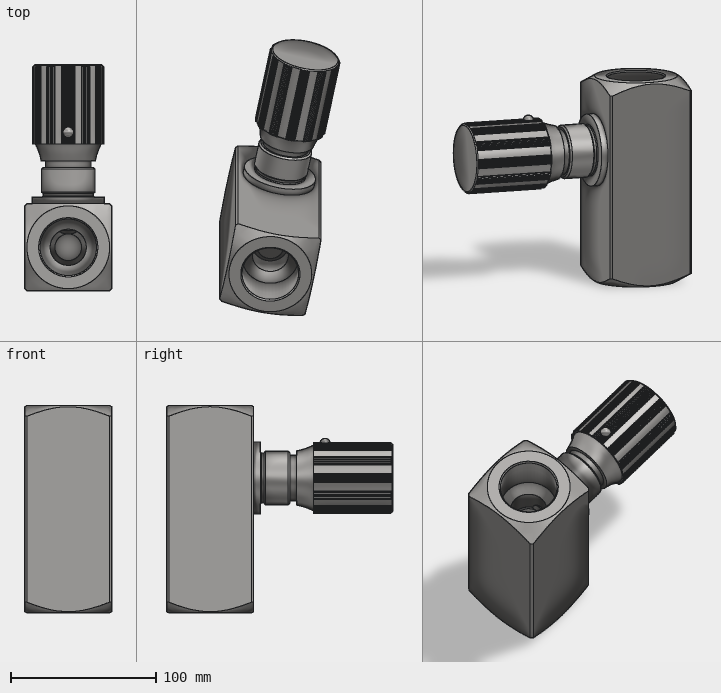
import cadquery as cq
import math

BODY_WIDTH = 60.0
BODY_LENGTH = 143.0
BODY_EDGE_CHAMFER = 1.5
END_FACE_RADIUS = 28.5
END_BEVEL_ANGLE = 30

PORT_RADIUS = 19.5
PORT_MOUTH_CHAMFER = 1.0
PORT_DEPTH = 27.3
SEAT_BORE_RADIUS = 12.5
DRILL_POINT_ANGLE = 118
SEAT_BORE_FLOOR = 22.6
POPPET_TOP_RADIUS = 9.2
POPPET_HEIGHT = SEAT_BORE_RADIUS - POPPET_TOP_RADIUS

OVERALL_DEPTH = 156.0
STEM_HEIGHT = 21.5
BODY_FACE = BODY_WIDTH / 2
FLANGE_RADIUS = 25.0
FLANGE_END = 34.6
COLLAR_RADIUS = 18.5
COLLAR_START = 38.0
COLLAR_END = 55.0
COLLAR_CHAMFER = 1.2
RELIEF_RADIUS = 17.3
RELIEF_START = 35.4
RELIEF_END = 37.1
RELIEF_SHOULDER_RADIUS = 18.0
NECK_RADIUS = 15.83
SKIRT_START = 59.6
SKIRT_SMALL_RADIUS = 18.7
SKIRT_LARGE_RADIUS = 22.6
SKIRT_SAG = 0.5
KNOB_START = 71.1
KNOB_END = OVERALL_DEPTH - BODY_FACE

NEEDLE_RADIUS = 6.79
NEEDLE_SHOULDER = 11.5

GRIP_RADIUS = 24.5
GRIP_FLOOR_RADIUS = 23.7
GRIP_CHAMFER = 1.5
BAND_COUNT = 12
GROOVE_PITCH = math.radians(2.5)
GROUP_GROOVES = 6
POINTER_GROOVES = 9
INDEX_BALL_RADIUS = 3.67
INDEX_BALL_Y = 79.2
INDEX_BALL_OFFSET = 23.7


def revolve_about_z(points):
    """Solid of revolution from (radius, z) points."""
    return cq.Workplane("XZ").polyline(points).close().revolve(360, (0, 0, 0), (0, 1, 0))


def revolve_about_stem(profile):
    """Turn a (radius, y) profile about the stem axis."""
    return profile.close().revolve(360, (0, 0, 0), (0, 1, 0)).translate((0, 0, STEM_HEIGHT))


def make_body():
    bar = cq.Workplane("XY").box(BODY_WIDTH, BODY_WIDTH, BODY_LENGTH)
    bar = bar.edges("|Z").chamfer(BODY_EDGE_CHAMFER)
    top = BODY_LENGTH / 2
    corner = BODY_WIDTH
    bevel_bottom = top - (corner - END_FACE_RADIUS) * math.tan(math.radians(END_BEVEL_ANGLE))
    envelope = revolve_about_z([
        (0, -top),
        (END_FACE_RADIUS, -top),
        (corner, -bevel_bottom),
        (corner, bevel_bottom),
        (END_FACE_RADIUS, top),
        (0, top),
    ])
    return bar.intersect(envelope)


def make_port():
    """Void of the upper port, with a conical poppet left standing on its floor."""
    top = BODY_LENGTH / 2
    shoulder = top - PORT_DEPTH
    point_depth = (PORT_RADIUS - SEAT_BORE_RADIUS) / math.tan(math.radians(DRILL_POINT_ANGLE / 2))
    return revolve_about_z([
        (0, top),
        (PORT_RADIUS + PORT_MOUTH_CHAMFER, top),
        (PORT_RADIUS, top - PORT_MOUTH_CHAMFER),
        (PORT_RADIUS, shoulder),
        (SEAT_BORE_RADIUS, shoulder - point_depth),
        (SEAT_BORE_RADIUS, SEAT_BORE_FLOOR),
        (POPPET_TOP_RADIUS, SEAT_BORE_FLOOR + POPPET_HEIGHT),
        (0, SEAT_BORE_FLOOR + POPPET_HEIGHT),
    ])


def make_needle():
    """Needle with a 45 degree point, running from the body face into the port."""
    return revolve_about_stem(cq.Workplane("XY").polyline([
        (0, NEEDLE_SHOULDER - NEEDLE_RADIUS),
        (NEEDLE_RADIUS, NEEDLE_SHOULDER),
        (NEEDLE_RADIUS, BODY_FACE),
        (0, BODY_FACE),
    ]))


def make_stem():
    """Flange, relief groove, collar, neck and the flared skirt below the knob."""
    root = BODY_FACE - BODY_EDGE_CHAMFER
    skirt_middle = (
        (SKIRT_SMALL_RADIUS + SKIRT_LARGE_RADIUS) / 2 - SKIRT_SAG,
        (SKIRT_START + KNOB_START) / 2,
    )
    profile = (
        cq.Workplane("XY")
        .polyline([
            (0, root),
            (FLANGE_RADIUS, root),
            (FLANGE_RADIUS, FLANGE_END),
            (RELIEF_SHOULDER_RADIUS, FLANGE_END),
            (RELIEF_RADIUS, RELIEF_START),
            (RELIEF_RADIUS, RELIEF_END),
            (COLLAR_RADIUS, COLLAR_START),
            (COLLAR_RADIUS, COLLAR_END - COLLAR_CHAMFER),
            (COLLAR_RADIUS - COLLAR_CHAMFER, COLLAR_END),
            (NECK_RADIUS, COLLAR_END),
            (NECK_RADIUS, SKIRT_START),
            (SKIRT_SMALL_RADIUS, SKIRT_START),
        ])
        .threePointArc(skirt_middle, (SKIRT_LARGE_RADIUS, KNOB_START))
        .lineTo(0, KNOB_START)
    )
    return revolve_about_stem(profile)


def make_knob():
    sector = 2 * math.pi / BAND_COUNT

    def grip_point(radius, angle):
        """Point on the grip section, with the angle taken from the top of the knob."""
        return (radius * math.sin(angle), radius * math.cos(angle))

    def group_half_width(group):
        grooves = POINTER_GROOVES if group % BAND_COUNT == 0 else GROUP_GROOVES
        return grooves * GROOVE_PITCH / 2

    outline = cq.Workplane("XZ").moveTo(*grip_point(GRIP_FLOOR_RADIUS, -group_half_width(0)))
    for group in range(BAND_COUNT):
        half_width = group_half_width(group)
        start = group * sector - half_width
        outline = outline.lineTo(*grip_point(GRIP_RADIUS, start))
        for groove in range(round(2 * half_width / GROOVE_PITCH)):
            outline = outline.lineTo(*grip_point(GRIP_FLOOR_RADIUS, start + (groove + 0.5) * GROOVE_PITCH))
            outline = outline.lineTo(*grip_point(GRIP_RADIUS, start + (groove + 1) * GROOVE_PITCH))

        band_start = group * sector + half_width
        band_end = (group + 1) * sector - group_half_width(group + 1)
        outline = outline.lineTo(*grip_point(GRIP_FLOOR_RADIUS, band_start))
        outline = outline.threePointArc(
            grip_point(GRIP_FLOOR_RADIUS, (band_start + band_end) / 2),
            grip_point(GRIP_FLOOR_RADIUS, band_end),
        )
    grip = outline.close().extrude(-(KNOB_END - KNOB_START))
    grip = grip.translate((0, KNOB_START, STEM_HEIGHT))

    envelope = revolve_about_stem(cq.Workplane("XY").polyline([
        (0, KNOB_START),
        (GRIP_RADIUS, KNOB_START),
        (GRIP_RADIUS, KNOB_END - GRIP_CHAMFER),
        (GRIP_RADIUS - GRIP_CHAMFER, KNOB_END),
        (0, KNOB_END),
    ]))
    return grip.intersect(envelope)


def make_index_ball():
    centre = (0, INDEX_BALL_Y, STEM_HEIGHT + INDEX_BALL_OFFSET)
    return cq.Workplane("XY").sphere(INDEX_BALL_RADIUS).translate(centre)


port = make_port()
body = make_body().cut(port).cut(port.mirror("XY"))
result = body.union(make_needle()).union(make_stem()).union(make_knob()).union(make_index_ball())